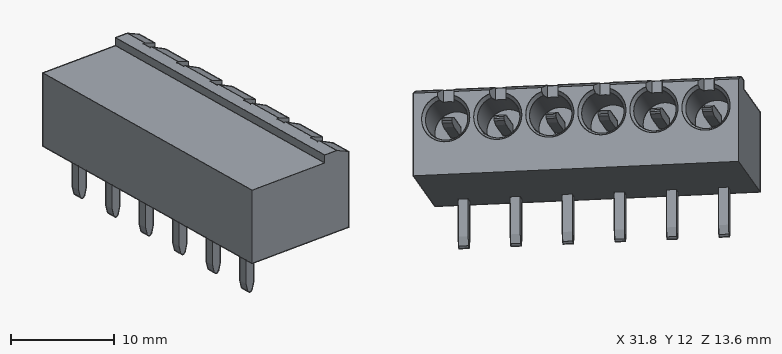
import cadquery as cq

length = 31.78
depth = 12.0
total_height = 13.6
housing_height = 8.8
ridge_height = 0.85
ridge_depth = 3.0
ridge_flat = 1.5
slope_drop = 0.6

pole_count = 6
pole_pitch = 5.1

socket_z = 5.6
socket_radius = 2.05
socket_depth = 5.72
lead_in_depth = 0.5
lead_in_widening = 0.3

slot_rear_width = 1.6
slot_front_width = 1.02
slot_depth = 1.72

pin_size = 1.0
pin_front_offset = 1.95
tip_length = 1.05
tip_nose_length = 0.2
tip_shoulder = 0.55
tip_end = 0.15
pin_tip_recess = 0.67

pin_drop = total_height - housing_height
rear = depth
pole_xs = [(i - (pole_count - 1) / 2) * pole_pitch for i in range(pole_count)]


def make_housing():
    """Extrude the stepped side profile along X."""
    block_top = housing_height - ridge_height
    return (
        cq.Workplane("YZ")
        .moveTo(0, 0)
        .lineTo(rear, 0)
        .lineTo(rear, housing_height - slope_drop)
        .lineTo(rear - ridge_flat, housing_height)
        .lineTo(rear - ridge_depth, housing_height)
        .lineTo(rear - ridge_depth, block_top)
        .lineTo(0, block_top)
        .close()
        .extrude(length / 2, both=True)
    )


def make_socket(x):
    """Revolve the socket bore and its lead-in about a Y-parallel axis."""
    entry_radius = socket_radius + lead_in_widening
    return (
        cq.Workplane("XY", origin=(x, 0, socket_z))
        .moveTo(0, rear)
        .lineTo(entry_radius, rear)
        .lineTo(socket_radius, rear - lead_in_depth)
        .lineTo(socket_radius, rear - socket_depth)
        .lineTo(0, rear - socket_depth)
        .close()
        .revolve(360, (0, 0), (0, 1))
    )


def make_key_slot(x):
    """Tapered slot from the socket axis up through the ridge."""
    return (
        cq.Workplane("XY", origin=(x, 0, socket_z))
        .moveTo(-slot_rear_width / 2, rear)
        .lineTo(slot_rear_width / 2, rear)
        .lineTo(slot_front_width / 2, rear - slot_depth)
        .lineTo(-slot_front_width / 2, rear - slot_depth)
        .close()
        .extrude(housing_height - socket_z)
    )


def make_leg(origin, side, leg_length):
    """Straight pin leg with a wedge tip; it runs along the cross product of X and side."""
    half = pin_size / 2
    return (
        cq.Workplane(cq.Plane(origin=origin, xDir=side, normal=(1, 0, 0)))
        .moveTo(-half, -half)
        .lineTo(half, -half)
        .lineTo(half, leg_length - tip_length)
        .lineTo(tip_shoulder / 2, leg_length - tip_nose_length)
        .lineTo(tip_end / 2, leg_length)
        .lineTo(-tip_end / 2, leg_length)
        .lineTo(-tip_shoulder / 2, leg_length - tip_nose_length)
        .lineTo(-half, leg_length - tip_length)
        .close()
        .extrude(half, both=True)
    )


def make_pin(x):
    """Right-angle pin: one leg down through the base, one back into the socket."""
    bend_y = pin_front_offset
    bend = (x, bend_y, socket_z)
    down = make_leg(bend, (0, -1, 0), socket_z + pin_drop)
    back = make_leg(bend, (0, 0, -1), rear - pin_tip_recess - bend_y)
    return down.union(back)


result = make_housing()
for pole_x in pole_xs:
    result = result.cut(make_socket(pole_x)).cut(make_key_slot(pole_x))
for pole_x in pole_xs:
    result = result.union(make_pin(pole_x))